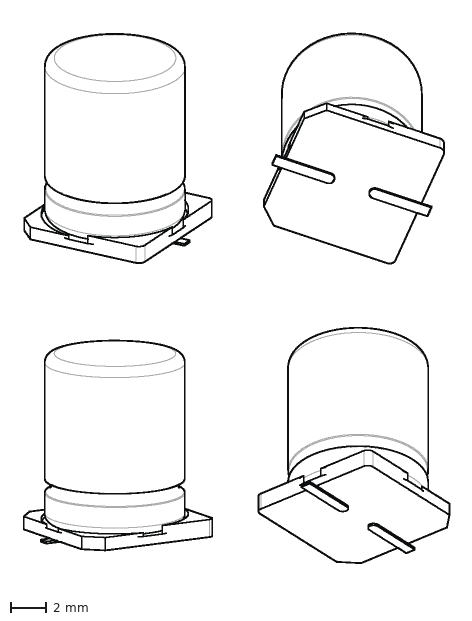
import cadquery as cq
import math

total_height = 10.5
terminal_span = 9.5

terminal_width = 0.63
terminal_thickness = 0.13
terminal_gap = 2.16

base_side = 8.3
base_low_top = 0.88
base_high_top = 1.15
corner_chamfer = 0.99
corner_radius = 0.38
seat_diameter = 8.39
seat_floor = 0.66

can_radius = 8.0 / 2
can_edge_radius = 0.54
groove_center = 2.8
groove_width = 0.82
groove_depth = 0.38
lip_radius = 0.05


def make_base():
    """Base plate with two chamfered and two rounded corners, stepped at X = 0."""
    base_bottom = terminal_thickness
    plate = (
        cq.Workplane("XY", origin=(0, 0, base_bottom))
        .rect(base_side, base_side)
        .extrude(base_high_top - base_bottom)
    )
    plate = plate.edges("|Z and <X").chamfer(corner_chamfer)
    plate = plate.edges("|Z and >X").fillet(corner_radius)
    low_half = (
        cq.Workplane("XY", origin=(0, 0, base_low_top))
        .rect(base_side, base_side)
        .extrude(base_high_top - base_low_top)
        .translate((-base_side / 2, 0, 0))
    )
    seat = (
        cq.Workplane("XY", origin=(0, 0, seat_floor))
        .circle(seat_diameter / 2)
        .extrude(base_high_top - seat_floor)
    )
    return plate.cut(low_half).cut(seat)


def make_can():
    """Revolved can with rounded ends and a rolled groove with rounded lips."""
    edge_offset = can_edge_radius * (1 - math.sqrt(0.5))
    end_radius = can_radius - can_edge_radius
    neck_radius = can_radius - groove_depth
    groove_low = groove_center - groove_width / 2
    groove_high = groove_center + groove_width / 2

    half_width = groove_width / 2
    lip_center = can_radius - lip_radius
    reach = lip_center - neck_radius
    groove_radius = (half_width**2 + reach**2 - lip_radius**2) / (2 * (reach + lip_radius))
    axis_radius = neck_radius + groove_radius
    lip_share = lip_radius / (lip_radius + groove_radius)
    join_radius = lip_center + (axis_radius - lip_center) * lip_share
    join_rise = half_width * (1 - lip_share)
    lip_angle = math.atan2(half_width, axis_radius - lip_center)
    lip_mid_radius = lip_center + lip_radius * math.cos(lip_angle / 2)
    lip_mid_rise = half_width - lip_radius * math.sin(lip_angle / 2)

    profile = (
        cq.Workplane("XZ")
        .moveTo(0, seat_floor)
        .lineTo(end_radius, seat_floor)
        .threePointArc(
            (can_radius - edge_offset, seat_floor + edge_offset),
            (can_radius, seat_floor + can_edge_radius),
        )
        .lineTo(can_radius, groove_low)
        .threePointArc(
            (lip_mid_radius, groove_center - lip_mid_rise),
            (join_radius, groove_center - join_rise),
        )
        .threePointArc((neck_radius, groove_center), (join_radius, groove_center + join_rise))
        .threePointArc((lip_mid_radius, groove_center + lip_mid_rise), (can_radius, groove_high))
        .lineTo(can_radius, total_height - can_edge_radius)
        .threePointArc(
            (can_radius - edge_offset, total_height - edge_offset),
            (end_radius, total_height),
        )
        .lineTo(0, total_height)
        .close()
    )
    return profile.revolve(360, (0, 0, 0), (0, 1, 0))


def make_terminal(side):
    """Flat lead on one side (+1 or -1 along X), with a round inner end."""
    inner_x = side * terminal_gap / 2
    round_center_x = inner_x + side * terminal_width / 2
    outer_x = side * terminal_span / 2
    half_width = terminal_width / 2
    return (
        cq.Workplane("XY")
        .moveTo(outer_x, -half_width)
        .lineTo(round_center_x, -half_width)
        .threePointArc((inner_x, 0), (round_center_x, half_width))
        .lineTo(outer_x, half_width)
        .close()
        .extrude(terminal_thickness)
    )


result = make_base().union(make_can())
for side in (-1, 1):
    result = result.union(make_terminal(side))